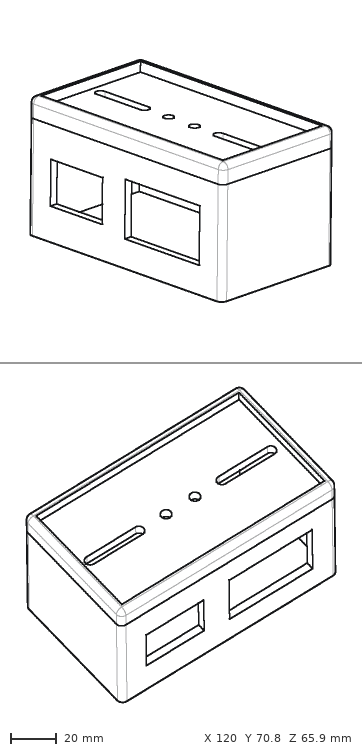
import cadquery as cq

LENGTH = 120.0
WIDTH = 70.0
HEIGHT = 65.0
LID_HEIGHT = 10.0
WALL = 4.0
EDGE_RADIUS = 3.0
TILT_ANGLE = 0.75

RECESS_DEPTH = 5.0

HOLE_DIAMETER = 5.0
HOLE_SPACING = 16.0
SLOT_LENGTH = 32.0
SLOT_SPACING = 73.0

WINDOW_MARGIN = 14.0
SMALL_WINDOW_LENGTH = 31.9
SMALL_WINDOW_HEIGHT = 22.0
LARGE_WINDOW_LENGTH = 46.0
LARGE_WINDOW_HEIGHT = 28.0
WINDOW_CENTER_Z = 28.0

BOX_HEIGHT = HEIGHT - LID_HEIGHT

def rounded_block(height):
    """Block with rounded upright edges, standing on Z = 0."""
    block = cq.Workplane("XY").rect(LENGTH, WIDTH).extrude(height)
    return block.edges("|Z").fillet(EDGE_RADIUS)

def window_cutter(center_x, length, height):
    """Bar that cuts a rectangular window through the front wall."""
    return cq.Workplane("XY").box(length, 2 * WALL, height).translate(
        (center_x, -WIDTH / 2, WINDOW_CENTER_Z)
    )

def make_box():
    box = rounded_block(BOX_HEIGHT)
    cavity = (
        cq.Workplane("XY", origin=(0, 0, WALL))
        .rect(LENGTH - 2 * WALL, WIDTH - 2 * WALL)
        .extrude(BOX_HEIGHT)
    )
    small_window_x = -LENGTH / 2 + WINDOW_MARGIN + SMALL_WINDOW_LENGTH / 2
    large_window_x = LENGTH / 2 - WINDOW_MARGIN - LARGE_WINDOW_LENGTH / 2
    return (
        box.cut(cavity)
        .cut(window_cutter(small_window_x, SMALL_WINDOW_LENGTH, SMALL_WINDOW_HEIGHT))
        .cut(window_cutter(large_window_x, LARGE_WINDOW_LENGTH, LARGE_WINDOW_HEIGHT))
    )

def make_lid():
    lid = rounded_block(LID_HEIGHT).faces(">Z").edges().fillet(EDGE_RADIUS)
    recess = (
        cq.Workplane("XY", origin=(0, 0, LID_HEIGHT - RECESS_DEPTH))
        .rect(LENGTH - 2 * WALL, WIDTH - 2 * WALL)
        .extrude(RECESS_DEPTH)
    )
    holes = (
        cq.Workplane("XY")
        .rarray(HOLE_SPACING, 1.2, 2, 1)
        .circle(HOLE_DIAMETER / 2)
        .extrude(LID_HEIGHT)
    )
    slots = (
        cq.Workplane("XY")
        .rarray(SLOT_SPACING, 1.2, 2, 1)
        .slot2D(SLOT_LENGTH, HOLE_DIAMETER)
        .extrude(LID_HEIGHT)
    )
    lid = lid.cut(recess).cut(holes).cut(slots)
    return lid.translate((0, 0, BOX_HEIGHT))

def lean_back(body):
    """Tilt a body about the X axis so that its top leans toward +Y."""
    return body.rotate((0, 0, 0), (1, 0, 0), -TILT_ANGLE)

box = lean_back(make_box())
lid = lean_back(make_lid())

result = cq.Compound.makeCompound([box.val(), lid.val()])